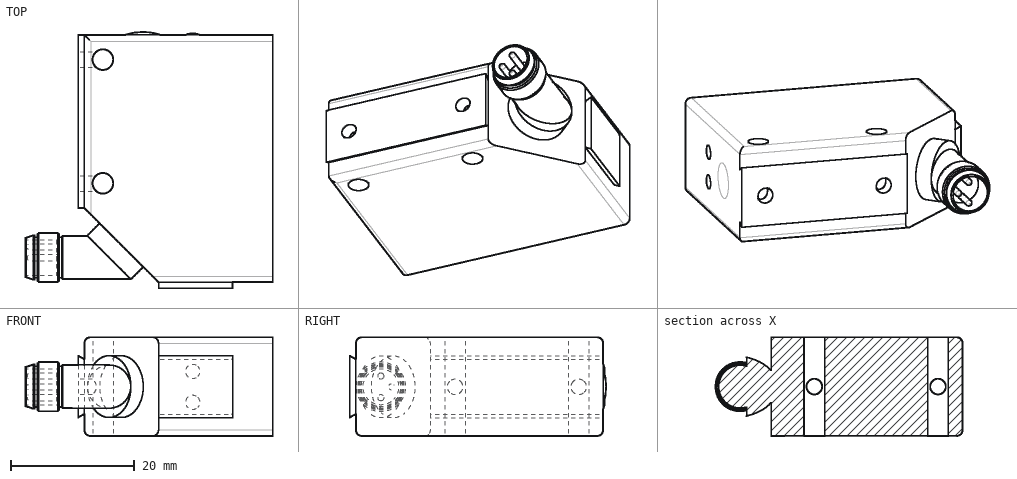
import cadquery as cq
import math

housing_length = 30.5
housing_width = 40.0
housing_height = 16.0
edge_radius = 1.0
corner_cut = 12.0

rail_height = 1.0
rail_width = 10.0
rail_undercut = 0.55
front_rail_length = 12.0

through_hole_diameter = 3.3
rail_hole_diameter = 2.5
hole_inset_x = 3.0
hole_inset_y = 4.0
hole_spacing = 20.0

window_x = -21.05
window_diameter = 5.8
window_height = 0.5
lamp_x = -13.0
lamp_z = 2.5
lamp_diameter = 2.3
lamp_height = 0.27

boss_diameter = 10.0
boss_offset = 2.0
boss_height = boss_offset * math.sqrt(2)

plug_end_x = -40.08
nose_diameter = 6.4
nose_rim_diameter = 7.2
nose_lip_length = 0.15
nose_taper_end = 1.3
nose_end = 1.55
groove_diameter = 6.6
ring_start = 2.0
ring_end = 5.5
ring_diameter = 8.0
ring_chamfer = 0.25
tube_start = 5.9
tube_diameter = 7.0
tube_chamfer = 0.2
socket_diameter = 5.8
socket_depth = 5.0
pin_diameter = 1.0
pin_circle_radius = 1.75
pin_recess = 0.33
pin_tip_rounding = 0.4

left_x = -housing_length
half_height = housing_height / 2
cut_end_x = left_x + corner_cut
cut_middle_x = left_x + corner_cut / 2
cut_middle_y = corner_cut / 2
plug_y = cut_middle_y - boss_offset
boss_end_x = cut_middle_x - boss_offset
hole_x = left_x + hole_inset_x
hole_ys = [housing_width - hole_inset_y - i * hole_spacing for i in range(2)]


def x_cylinder(diameter, x_start, x_end, y, z):
    """Cylinder along X between two x positions."""
    return (
        cq.Workplane("YZ", origin=(x_start, y, z))
        .circle(diameter / 2)
        .extrude(x_end - x_start)
    )


def make_housing():
    """Block with rounded top and bottom edges and one corner cut at 45 degrees."""
    block = (
        cq.Workplane("XY")
        .box(housing_length, housing_width, housing_height)
        .translate((left_x / 2, housing_width / 2, 0))
    )
    block = block.edges("(|X or (|Y and <X)) and (>Z or <Z)").fillet(edge_radius)
    corner = (
        cq.Workplane("XY", origin=(0, 0, -half_height))
        .polyline([(left_x, 0), (cut_end_x, 0), (left_x, corner_cut)])
        .close()
        .extrude(housing_height)
    )
    return block.cut(corner)


def make_rail(plane, length):
    """Dovetail rail, narrow at local y = 0 and wide at local y = rail_height."""
    half_wide = rail_width / 2
    half_narrow = half_wide - rail_undercut
    return (
        cq.Workplane(plane)
        .polyline([
            (-half_narrow, 0),
            (half_narrow, 0),
            (half_wide, rail_height),
            (-half_wide, rail_height),
        ])
        .close()
        .extrude(length)
    )


def make_dome(diameter, height, x, z):
    """Shallow spherical cap standing on the back face."""
    radius = diameter / 2
    sphere_radius = (radius**2 + height**2) / (2 * height)
    half_rim_angle = math.asin(radius / sphere_radius) / 2
    arc_middle = (
        sphere_radius * math.sin(half_rim_angle),
        height - sphere_radius * (1 - math.cos(half_rim_angle)),
    )
    return (
        cq.Workplane("XY")
        .lineTo(radius, 0)
        .threePointArc(arc_middle, (0, height))
        .close()
        .revolve(360, (0, 0), (0, 1))
        .translate((x, housing_width, z))
    )


def make_boss():
    """Round boss rising square from the middle of the cut corner."""
    face = cq.Plane(
        origin=(cut_middle_x, cut_middle_y, 0),
        xDir=(0, 0, 1),
        normal=(-1, -1, 0),
    )
    return cq.Workplane(face).circle(boss_diameter / 2).extrude(boss_height)


def make_plug():
    """Turned plug body with a tapered nose, grip ring and pin socket."""
    tube_radius = tube_diameter / 2
    groove_radius = groove_diameter / 2
    ring_radius = ring_diameter / 2
    tube_end = boss_end_x + tube_radius - plug_end_x
    body = (
        cq.Workplane("XY")
        .polyline([
            (0, 0),
            (0, nose_diameter / 2),
            (nose_lip_length, nose_diameter / 2),
            (nose_taper_end, nose_rim_diameter / 2),
            (nose_end, nose_rim_diameter / 2),
            (nose_end, groove_radius),
            (ring_start, groove_radius),
            (ring_start, ring_radius - ring_chamfer),
            (ring_start + ring_chamfer, ring_radius),
            (ring_end - ring_chamfer, ring_radius),
            (ring_end, ring_radius - ring_chamfer),
            (ring_end, groove_radius),
            (tube_start, groove_radius),
            (tube_start + tube_chamfer, tube_radius),
            (tube_end, tube_radius),
            (tube_end, 0),
        ])
        .close()
        .revolve(360, (0, 0), (1, 0))
        .translate((plug_end_x, plug_y, 0))
    )
    socket = x_cylinder(socket_diameter, plug_end_x, plug_end_x + socket_depth, plug_y, 0)
    return body.cut(socket)


def make_pin(angle):
    """Round-tipped contact pin at an angle about the plug axis, from +Y towards +Z."""
    y = plug_y + pin_circle_radius * math.cos(math.radians(angle))
    z = pin_circle_radius * math.sin(math.radians(angle))
    pin = x_cylinder(pin_diameter, plug_end_x + pin_recess, plug_end_x + socket_depth, y, z)
    return pin.faces("<X").edges().fillet(pin_tip_rounding)


left_rail_plane = cq.Plane(
    origin=(left_x, housing_width, 0), xDir=(0, 0, 1), normal=(0, -1, 0)
)
front_rail_plane = cq.Plane(
    origin=(cut_end_x, 0, 0), xDir=(0, 0, 1), normal=(1, 0, 0)
)

result = make_housing()
result = result.union(make_rail(left_rail_plane, housing_width - corner_cut))
result = result.union(make_rail(front_rail_plane, front_rail_length))
result = result.union(make_dome(window_diameter, window_height, window_x, 0))
for side in (-1, 1):
    result = result.union(make_dome(lamp_diameter, lamp_height, lamp_x, side * lamp_z))

result = result.union(make_boss()).union(make_plug())
for pin_angle in (-90, 0, 90):
    result = result.union(make_pin(pin_angle))

for hole_y in hole_ys:
    through_hole = (
        cq.Workplane("XY", origin=(hole_x, hole_y, -half_height))
        .circle(through_hole_diameter / 2)
        .extrude(housing_height)
    )
    rail_hole = x_cylinder(rail_hole_diameter, left_x - rail_height, hole_x, hole_y, 0)
    result = result.cut(through_hole).cut(rail_hole)